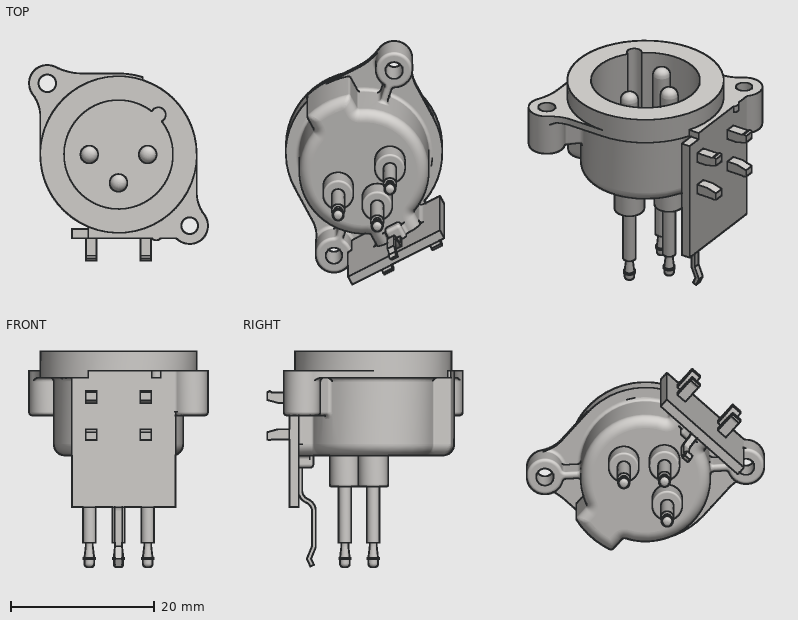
import cadquery as cq
import math


rim_radius = 10.93
rim_height = 2.72
flange_thickness = 1.0
body_radius = 9.05
body_bottom = -11.87
body_bottom_fillet = 1.6
underside_fillet = 0.5
cavity_radius = 7.6
cavity_floor = -9.97
key_radius = 1.03
key_offset = 5.55

ear_offset = 9.95
ear_radius = 2.57
ear_bottom = -6.28
ear_hole_radii = (1.2, 1.15)
side_blend_radius = 5.0
back_blend_radius = 8.0
back_y = 11.32
back_end_x = 3.4
front_y = -11.7
front_step_x = -4.23
web_thickness = 1.0
web_bottom_fillet = 0.48
root_fillet = underside_fillet
bump_radius = 0.85
bump_x = 5.25
bump_depth = 0.3

housing_half_width = 3.4
housing_edge_fillet = 0.35
housing_neck_fillet = 0.4

plate_thickness = 1.3
plate_left = -6.52
plate_right = 7.97
plate_bottom = -19.05
plate_back_y = front_y + plate_thickness
peg_x = 3.8
peg_width = 1.5
peg_height = 4.9
peg_tip_y = -14.8
peg_taper_length = 1.55
peg_taper = 1.4
peg_barb_length = 0.33
upper_peg_z = -3.8
lower_peg_z = -8.9
upper_barb = 0.7
lower_barb = 0.3

pin_x = 4.08
pin_y = -3.95
pin_radius = 1.25
pin_top = 2.65
pin_tip_radius = 0.15
sleeve_radius = 2.1
sleeve_bottom = -16.22
sleeve_fillet = 0.3
tail_radius = 0.9
tail_shoulder = -24.07
neck_radius = 0.5
neck_end = -24.58
collar_radius = 0.82
collar_top = -26.12
collar_bottom = -26.35
bulb_radius = 0.7
bulb_end = -26.97
tail_end = -27.48

contact_block_half_width = 1.2
contact_block_back_y = -8.35
contact_block_bottom = -13.6
contact_width = 1.0
contact_thickness = 0.57
contact_upper_y = -10.18
contact_lower_y = -8.27
bend_top = -16.75
bend_bottom = -19.63
contact_kink_z = -24.58
contact_elbow = (-8.97, -26.27)
contact_tip = (-8.52, -27.25)

margin = 0.3


def box(x0, x1, y0, y1, z0, z1):
    return cq.Workplane("XY").box(x1 - x0, y1 - y0, z1 - z0, centered=False).translate((x0, y0, z0))


def disc(radius, z0, z1, x=0, y=0):
    return cq.Workplane("XY").workplane(offset=z0).center(x, y).circle(radius).extrude(z1 - z0)


def fillet_strip(radius, side):
    """Concave fillet section in the corner at the origin, opening toward side*X and +Y."""
    bow = radius * (1 - math.sqrt(0.5))
    return (
        cq.Workplane("XY")
        .lineTo(side * radius, 0)
        .threePointArc((side * bow, bow), (0, radius))
        .close()
    )


def root_along_y(radius, side, x, z, length):
    """Concave fillet under a horizontal face, running from the plate toward +Y."""
    strip = fillet_strip(radius, side).extrude(length).rotate((0, 0, 0), (1, 0, 0), -90)
    return strip.translate((x, plate_back_y, z))


def blend_arc(line_distance, blend_radius):
    """Concave arc from a straight side to the ear.

    Returned in ear-centred coordinates (along the side, outward from it):
    the point on the side, the arc's middle and the point on the ear.
    """
    along = math.sqrt((ear_radius + blend_radius) ** 2 - (blend_radius + line_distance) ** 2)
    out = line_distance + blend_radius
    to_ear = math.atan2(-out, -along)
    middle = (to_ear - math.pi / 2) / 2
    points = []
    for angle in (-math.pi / 2, middle, to_ear):
        points.append((along + blend_radius * math.cos(angle), out + blend_radius * math.sin(angle)))
    return points


def front_blend():
    """Arc joining the front side of the flange to the ear."""
    blend = blend_arc(-front_y - ear_offset, root_fillet)
    return [(ear_offset - along, -ear_offset - out) for along, out in blend]


def flange_outline():
    """Flange outline without the ear rounds; its corners there are the ear centres."""
    side = blend_arc(rim_radius - ear_offset, side_blend_radius)
    back = blend_arc(back_y - ear_offset, back_blend_radius)
    left = [(-ear_offset - out, ear_offset - along) for along, out in side]
    right = [(-x, -y) for x, y in left]
    top = [(-ear_offset + along, ear_offset + out) for along, out in back]
    front = front_blend()
    back_mid_angle = math.acos(back_end_x / back_y) / 2 + math.pi / 4
    return (
        cq.Workplane("XY")
        .moveTo(-rim_radius, 0)
        .lineTo(*left[0])
        .threePointArc(left[1], left[2])
        .lineTo(-ear_offset, ear_offset)
        .lineTo(*top[2])
        .threePointArc(top[1], top[0])
        .lineTo(0, back_y)
        .threePointArc(
            (back_y * math.cos(back_mid_angle), back_y * math.sin(back_mid_angle)),
            (back_end_x, math.sqrt(back_y**2 - back_end_x**2)),
        )
        .lineTo(back_end_x, 0)
        .lineTo(rim_radius, 0)
        .lineTo(*right[0])
        .threePointArc(right[1], right[2])
        .lineTo(ear_offset, -ear_offset)
        .lineTo(*front[2])
        .threePointArc(front[1], front[0])
        .lineTo(front_step_x, front_y)
        .lineTo(front_step_x, 0)
        .close()
    )


def flared_boss(radius, bottom, bottom_fillet, x, y):
    """Round boss below the flange: concave fillet at its root, rounded bottom edge."""
    root = -flange_thickness
    bow = underside_fillet * (1 - math.sqrt(0.5))
    return (
        cq.Workplane("XZ")
        .moveTo(0, 0)
        .lineTo(radius + underside_fillet, 0)
        .lineTo(radius + underside_fillet, root)
        .threePointArc((radius + bow, root - bow), (radius, root - underside_fillet))
        .lineTo(radius, bottom + bottom_fillet)
        .radiusArc((radius - bottom_fillet, bottom), bottom_fillet)
        .lineTo(0, bottom)
        .close()
        .revolve(360, (0, 0), (0, 1))
        .translate((x, y, 0))
    )


def flange():
    plate = flange_outline().extrude(-flange_thickness)
    envelope = flange_outline().extrude(ear_bottom)
    for side in (-1, 1):
        x, y = side * ear_offset, -side * ear_offset
        root = flared_boss(ear_radius, ear_bottom, underside_fillet, x, y).intersect(envelope)
        plate = plate.union(ear_with_web(side)).union(root)
    bump = disc(bump_radius, -flange_thickness, 0, bump_x, front_y - bump_depth + bump_radius)
    start, middle, end = front_blend()
    gusset = (
        cq.Workplane("XY")
        .moveTo(*start)
        .threePointArc(middle, end)
        .lineTo(ear_offset, -ear_offset)
        .lineTo(start[0], plate_back_y)
        .close()
        .extrude(ear_bottom + underside_fillet)
    )
    return plate.union(bump).union(gusset)


def ear_with_web(side):
    """Ear and the thin web that ties it to the body, with blended roots."""
    distance = ear_offset * math.sqrt(2)
    web_start = cavity_radius + margin
    ear = disc(ear_radius, ear_bottom, 0, distance)
    web = box(web_start, distance, -web_thickness / 2, web_thickness / 2, ear_bottom, -flange_thickness)
    corner = cq.selectors.BoxSelector(
        (distance - ear_radius - margin, -web_thickness, ear_bottom - margin),
        (distance - ear_radius + margin, web_thickness, 0),
    )
    ear = ear.union(web).edges("|Z").edges(corner).fillet(root_fillet)
    ear = ear.faces("<Z").edges("not(<X)").fillet(web_bottom_fillet)
    core = disc(body_radius, ear_bottom - 2 * root_fillet, -flange_thickness)
    root = cq.selectors.BoxSelector(
        (body_radius - margin, -web_thickness, ear_bottom - margin),
        (body_radius + margin, web_thickness, -flange_thickness - margin),
    )
    ear = ear.union(core).edges(root).fillet(root_fillet)
    ear = ear.cut(disc(web_start, body_bottom, 0))
    direction = -45 if side > 0 else 135
    return ear.rotate((0, 0, 0), (0, 0, 1), direction)


def body():
    """Rim and round body, with a housing block standing out at the back and front."""
    rim = disc(rim_radius, -flange_thickness, rim_height)
    core = disc(body_radius, body_bottom, -flange_thickness)
    housing = box(
        -housing_half_width, housing_half_width, plate_back_y, back_y + margin,
        body_bottom, -flange_thickness,
    )
    housing = housing.intersect(disc(back_y, body_bottom, -flange_thickness))
    housing = housing.edges("|Z").edges(">Y").fillet(housing_edge_fillet)
    core = core.union(housing)
    neck = cq.selectors.BoxSelector(
        (-housing_half_width - margin, -body_radius, body_bottom - margin),
        (housing_half_width + margin, body_radius, 0),
    )
    core = core.edges("|Z").edges(neck).fillet(housing_neck_fillet)
    core = core.faces("<Z").edges("not(<Y)").fillet(body_bottom_fillet)
    core = core.union(flared_boss(body_radius, body_bottom, body_bottom_fillet, 0, 0))
    for side in (-1, 1):
        plate_root = (
            fillet_strip(root_fillet, side)
            .extrude(-flange_thickness - body_bottom - body_bottom_fillet)
            .translate((side * housing_half_width, plate_back_y, body_bottom + body_bottom_fillet))
        )
        flange_root = root_along_y(
            underside_fillet, side, side * housing_half_width, -flange_thickness, -plate_back_y
        )
        core = core.union(plate_root).union(flange_root)
    return rim.union(core)


def pin(x, y):
    """Contact pin with its insulating sleeve and snap-in solder tail."""
    profile = (
        cq.Workplane("XZ")
        .moveTo(0, pin_top)
        .lineTo(pin_tip_radius, pin_top)
        .radiusArc((pin_radius, pin_top - pin_radius + pin_tip_radius), pin_radius - pin_tip_radius)
        .lineTo(pin_radius, cavity_floor)
        .lineTo(tail_radius, cavity_floor)
        .lineTo(tail_radius, tail_shoulder)
        .lineTo(neck_radius, tail_shoulder)
        .lineTo(neck_radius, neck_end)
        .lineTo(bulb_radius, collar_top)
        .lineTo(collar_radius, collar_top)
        .lineTo(collar_radius, collar_bottom)
        .lineTo(bulb_radius, collar_bottom)
        .lineTo(bulb_radius, bulb_end)
        .radiusArc((bulb_radius + tail_end - bulb_end, tail_end), bulb_end - tail_end)
        .lineTo(0, tail_end)
        .close()
    )
    sleeve = disc(sleeve_radius, sleeve_bottom, cavity_floor).faces("<Z").edges().fillet(sleeve_fillet)
    return profile.revolve(360, (0, 0), (0, 1)).union(sleeve).translate((x, y, 0))


def peg(x, z, direction, barb):
    """Locking peg; direction is +1 with the barb on top, -1 with it below."""
    plain = direction * peg_height / 2
    outline = [
        (plate_back_y, plain),
        (peg_tip_y + 2 * peg_barb_length, plain),
        (peg_tip_y + peg_barb_length, plain + direction * barb),
        (peg_tip_y, plain),
        (peg_tip_y, -plain + direction * peg_taper),
        (peg_tip_y + peg_taper_length, -plain),
        (plate_back_y, -plain),
    ]
    solid = cq.Workplane("YZ").polyline(outline).close().extrude(peg_width / 2, both=True)
    return solid.translate((x, 0, z))


def mounting_plate():
    plate = box(plate_left, plate_right, front_y, plate_back_y, plate_bottom, -flange_thickness)
    for x in (-peg_x, peg_x):
        plate = plate.union(peg(x, upper_peg_z, 0.3, upper_barb))
        plate = plate.union(peg(x, lower_peg_z, -0.3, lower_barb))
    return plate


def ground_contact():
    """Bent contact strip hanging from a small block under the housing."""
    block = box(
        -contact_block_half_width, contact_block_half_width, plate_back_y, contact_block_back_y,
        contact_block_bottom, cavity_floor,
    )
    block = block.edges("|Z").edges(">Y").fillet(root_fillet)
    block = block.faces("<Z").edges("not(<Y)").fillet(underside_fillet)
    root_length = contact_block_back_y - plate_back_y - root_fillet
    for side in (-1, 1):
        x = side * contact_block_half_width
        block = block.union(root_along_y(root_fillet, side, x, body_bottom, root_length))
    middle = ((contact_upper_y + contact_lower_y) / 2, (bend_top + bend_bottom) / 2)
    path = (
        cq.Workplane("YZ")
        .moveTo(contact_upper_y, body_bottom)
        .lineTo(contact_upper_y, bend_top)
        .tangentArcPoint(middle, relative=False)
        .tangentArcPoint((contact_lower_y, bend_bottom), relative=False)
        .lineTo(contact_lower_y, contact_kink_z)
        .lineTo(*contact_elbow)
        .lineTo(*contact_tip)
    )
    strip = (
        cq.Workplane("XY", origin=(0, contact_upper_y, body_bottom))
        .rect(contact_width, contact_thickness)
        .sweep(path, transition="right")
    )
    return block.union(strip)


def cavity():
    bore = disc(cavity_radius, cavity_floor, rim_height)
    return bore.union(disc(key_radius, cavity_floor, rim_height, key_offset, key_offset))


result = body().union(flange()).union(mounting_plate()).union(ground_contact())
result = result.cut(cavity())
for hole_radius, side in zip(ear_hole_radii, (-1, 1)):
    result = result.cut(disc(hole_radius, ear_bottom, 0, side * ear_offset, -side * ear_offset))
for x, y in ((-pin_x, 0), (pin_x, 0), (0, pin_y)):
    result = result.union(pin(x, y))